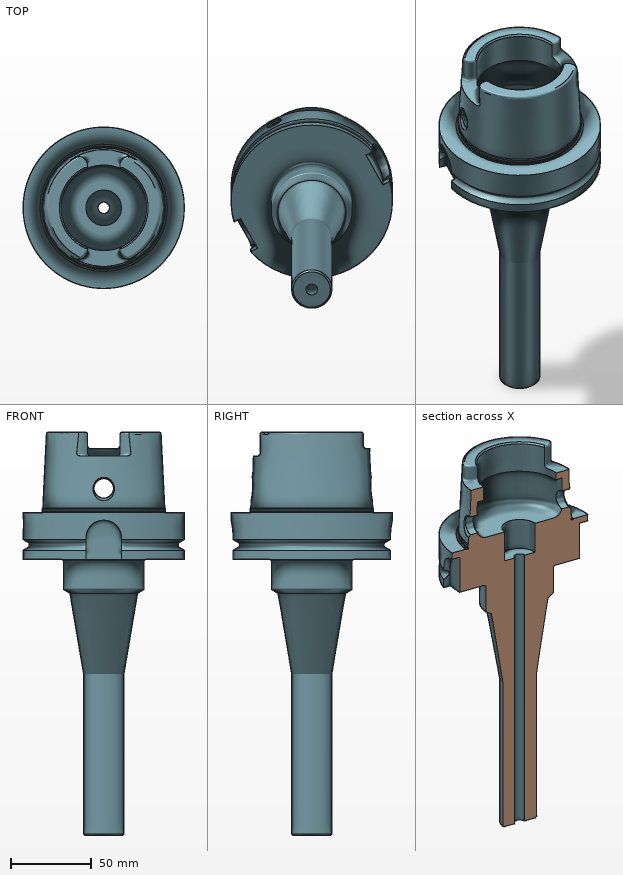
import cadquery as cq
import math


TAPER_TOP = 49.9
TAPER_RATE = 0.1
TAPER_GAUGE_RADIUS = 37.5
TAPER_GAUGE_HEIGHT = 10.0
RIM_FILLET = 1.6
NECK_HEIGHT = 3.0
BEAD_RADIUS = 38.2
BEAD_CHAMFER_HEIGHT = 0.8
NECK_RADIUS = 37.9
FACE_GROOVE_RADIUS = 39.4
FACE_GROOVE_DEPTH = 0.5

BORE_RADIUS = 26.5
BORE_CHAMFER = 1.0
CHAMBER_SHOULDER_HEIGHT = 30.0
CHAMBER_RADIUS = 31.0
CHAMBER_FLOOR_HEIGHT = 4.3
CHAMBER_FLOOR_FILLET = 6.5
TUBE_BORE_RADIUS = 11.0
TUBE_BORE_DEPTH = 20.0
COOLANT_RADIUS = 3.5

FLANGE_RADIUS = 50.0
FLANGE_THICKNESS = 29.0
GROOVE_CENTRE = -20.0
GROOVE_MOUTH_WIDTH = 6.7
GROOVE_BOTTOM_RADIUS = 46.2
GROOVE_CORNER_FILLET = 0.8
GROOVE_FLANK_ANGLE = 30.0

COLLAR_RADIUS = 25.0
COLLAR_FILLET = 1.2
COLLAR_BOTTOM = -50.0
COLLAR_CHAMFER_HEIGHT = 2.4
COLLAR_EDGE_FILLET = 1.0
CONE_TOP_RADIUS = 21.0
CONE_BOTTOM = -100.0
SHAFT_RADIUS = 12.5
SHAFT_BOTTOM = -200.0
SHAFT_CHAMFER = 1.0

NOTCH_WIDTH = 20.0
NOTCH_FACE_OFFSET = 32.0
NOTCH_CORNER_RADIUS = 6.0
NOTCH_FLOOR_FILLET = 2.0
FRONT_NOTCH_FLOOR = 35.0
REAR_NOTCH_FLOOR = 39.6

ACCESS_HEIGHT = 15.0
ACCESS_RADIUS = 6.0
ACCESS_MOUTH_RADIUS = 7.2

SLOT_WIDTH = 22.0
SLOT_TOP = -4.7
SLOT_FLOOR_OFFSET = 44.0

CHIP_HEIGHT = -7.0
CHIP_RADIUS = 5.0
CHIP_DEPTH = 4.6
CHIP_CENTRE_RADIUS = 0.5
CHIP_CENTRE_DEPTH = 1.0

EDGE_TOLERANCE = 0.01
CLEARANCE = 10.0


def taper_radius(height):
    return TAPER_GAUGE_RADIUS - TAPER_RATE / 2 * (height - TAPER_GAUGE_HEIGHT)


def revolve_about_z(outline):
    """Revolve an outline drawn as (radius, height) about Z."""
    return outline.revolve(360, (0, 0), (0, 1))


def fillet_ring(body, height, radius):
    """Fillet the circular edge centred on the Z axis at the given height."""
    ring = cq.selectors.NearestToPointSelector((0, 0, height))
    return body.edges(ring).fillet(radius)


def make_body():
    groove_top = GROOVE_CENTRE + GROOVE_MOUTH_WIDTH / 2
    groove_foot = GROOVE_CENTRE - GROOVE_MOUTH_WIDTH / 2
    flank = (FLANGE_RADIUS - GROOVE_BOTTOM_RADIUS) * math.tan(math.radians(GROOVE_FLANK_ANGLE))
    outline = (
        cq.Workplane("XZ")
        .moveTo(0, TAPER_TOP)
        .lineTo(taper_radius(TAPER_TOP) - RIM_FILLET, TAPER_TOP)
        .radiusArc((taper_radius(TAPER_TOP - RIM_FILLET), TAPER_TOP - RIM_FILLET), RIM_FILLET)
        .lineTo(taper_radius(NECK_HEIGHT), NECK_HEIGHT)
        .lineTo(BEAD_RADIUS, NECK_HEIGHT - BEAD_CHAMFER_HEIGHT)
        .lineTo(BEAD_RADIUS, BEAD_CHAMFER_HEIGHT)
        .lineTo(NECK_RADIUS, 0)
        .lineTo(NECK_RADIUS, -FACE_GROOVE_DEPTH)
        .lineTo(FACE_GROOVE_RADIUS, -FACE_GROOVE_DEPTH)
        .lineTo(FACE_GROOVE_RADIUS, 0)
        .lineTo(FLANGE_RADIUS, 0)
        .lineTo(FLANGE_RADIUS, groove_top)
        .lineTo(GROOVE_BOTTOM_RADIUS, groove_top - flank)
        .lineTo(GROOVE_BOTTOM_RADIUS, groove_foot + flank)
        .lineTo(FLANGE_RADIUS, groove_foot)
        .lineTo(FLANGE_RADIUS, -FLANGE_THICKNESS)
        .lineTo(COLLAR_RADIUS + COLLAR_FILLET, -FLANGE_THICKNESS)
        .radiusArc((COLLAR_RADIUS, -FLANGE_THICKNESS - COLLAR_FILLET), -COLLAR_FILLET)
        .lineTo(COLLAR_RADIUS, COLLAR_BOTTOM + COLLAR_CHAMFER_HEIGHT)
        .lineTo(CONE_TOP_RADIUS, COLLAR_BOTTOM)
        .lineTo(SHAFT_RADIUS, CONE_BOTTOM)
        .lineTo(SHAFT_RADIUS, SHAFT_BOTTOM + SHAFT_CHAMFER)
        .lineTo(SHAFT_RADIUS - SHAFT_CHAMFER, SHAFT_BOTTOM)
        .lineTo(0, SHAFT_BOTTOM)
        .close()
    )
    body = revolve_about_z(outline)
    for corner_height in (groove_top - flank, groove_foot + flank):
        body = fillet_ring(body, corner_height, GROOVE_CORNER_FILLET)
    return fillet_ring(body, COLLAR_BOTTOM + COLLAR_CHAMFER_HEIGHT, COLLAR_EDGE_FILLET)


def make_bore():
    tube_floor = CHAMBER_FLOOR_HEIGHT - TUBE_BORE_DEPTH
    fillet_inner = CHAMBER_RADIUS - CHAMBER_FLOOR_FILLET
    outline = (
        cq.Workplane("XZ")
        .moveTo(0, TAPER_TOP)
        .lineTo(BORE_RADIUS + BORE_CHAMFER, TAPER_TOP)
        .lineTo(BORE_RADIUS, TAPER_TOP - BORE_CHAMFER)
        .lineTo(BORE_RADIUS, CHAMBER_SHOULDER_HEIGHT)
        .lineTo(CHAMBER_RADIUS, CHAMBER_SHOULDER_HEIGHT)
        .lineTo(CHAMBER_RADIUS, CHAMBER_FLOOR_HEIGHT + CHAMBER_FLOOR_FILLET)
        .radiusArc((fillet_inner, CHAMBER_FLOOR_HEIGHT), CHAMBER_FLOOR_FILLET)
        .lineTo(TUBE_BORE_RADIUS, CHAMBER_FLOOR_HEIGHT)
        .lineTo(TUBE_BORE_RADIUS, tube_floor)
        .lineTo(COOLANT_RADIUS, tube_floor)
        .lineTo(COOLANT_RADIUS, SHAFT_BOTTOM)
        .lineTo(0, SHAFT_BOTTOM)
        .close()
    )
    return revolve_about_z(outline)


def make_notch(side, floor_height):
    """Drive notch on the +Y (side = 1) or -Y (side = -1) half of the rim."""
    half = NOTCH_WIDTH / 2
    outer_x = FLANGE_RADIUS
    outer_y = side * FLANGE_RADIUS
    face_y = side * NOTCH_FACE_OFFSET
    corner_y = side * (NOTCH_FACE_OFFSET - NOTCH_CORNER_RADIUS)
    corner_x = half + NOTCH_CORNER_RADIUS
    turn = side * NOTCH_CORNER_RADIUS
    notch = (
        cq.Workplane("XY", origin=(0, 0, floor_height))
        .moveTo(-half, 0)
        .lineTo(-half, corner_y)
        .radiusArc((-corner_x, face_y), -turn)
        .lineTo(-outer_x, face_y)
        .lineTo(-outer_x, outer_y)
        .lineTo(outer_x, outer_y)
        .lineTo(outer_x, face_y)
        .lineTo(corner_x, face_y)
        .radiusArc((half, corner_y), -turn)
        .lineTo(half, 0)
        .close()
        .extrude(TAPER_TOP - floor_height)
    )
    return round_notch_edges(notch)


def round_notch_edges(notch):
    """Fillet the notch floor and flare the notch mouth to round the rim edges."""
    width = 2 * FLANGE_RADIUS + CLEARANCE
    slab = cq.Workplane("XY", origin=(0, 0, TAPER_TOP)).rect(width, width).extrude(CLEARANCE)
    mouth = cq.selectors.BoxSelector(
        (-width, -width, TAPER_TOP - EDGE_TOLERANCE),
        (width, width, TAPER_TOP + EDGE_TOLERANCE),
    )
    cutter = notch.union(slab).edges(mouth).fillet(RIM_FILLET)
    return cutter.faces("<Z").edges().fillet(NOTCH_FLOOR_FILLET)


def make_access_hole():
    length = 2 * FLANGE_RADIUS
    hole = (
        cq.Workplane("XZ", origin=(0, length / 2, ACCESS_HEIGHT))
        .circle(ACCESS_RADIUS)
        .extrude(length)
    )
    mouth_depth = ACCESS_MOUTH_RADIUS - ACCESS_RADIUS
    cone_start = taper_radius(ACCESS_HEIGHT) - mouth_depth
    cone_length = 2 * mouth_depth
    for side in (1, -1):
        countersink = cq.Solid.makeCone(
            ACCESS_RADIUS,
            ACCESS_RADIUS + cone_length,
            cone_length,
            pnt=cq.Vector(0, side * cone_start, ACCESS_HEIGHT),
            dir=cq.Vector(0, side, 0),
        )
        hole = hole.union(cq.Workplane(countersink))
    return hole


def make_slot(side):
    """Round-topped orientation slot, open at the bottom of the flange."""
    half = SLOT_WIDTH / 2
    spring = SLOT_TOP - half
    floor_y = side * SLOT_FLOOR_OFFSET
    return (
        cq.Workplane("XZ", origin=(0, floor_y, 0))
        .moveTo(-half, -FLANGE_THICKNESS)
        .lineTo(-half, spring)
        .threePointArc((0, SLOT_TOP), (half, spring))
        .lineTo(half, -FLANGE_THICKNESS)
        .close()
        .extrude(-side * CLEARANCE)
    )


def make_chip_hole():
    return (
        cq.Workplane("YZ", origin=(-FLANGE_RADIUS, 0, CHIP_HEIGHT))
        .circle(CHIP_RADIUS)
        .extrude(CHIP_DEPTH)
        .faces(">X")
        .workplane()
        .circle(CHIP_CENTRE_RADIUS)
        .extrude(CHIP_CENTRE_DEPTH)
    )


result = make_body().cut(make_bore())
result = result.cut(make_notch(-1, FRONT_NOTCH_FLOOR))
result = result.cut(make_notch(1, REAR_NOTCH_FLOOR))
result = result.cut(make_access_hole())
for slot_side in (1, -1):
    result = result.cut(make_slot(slot_side))
result = result.cut(make_chip_hole())